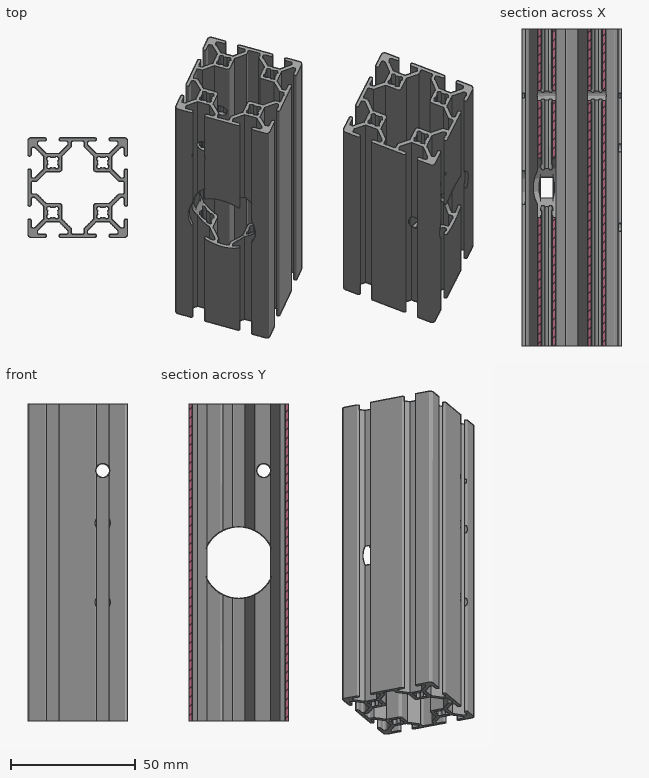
import cadquery as cq
import math

length = 127.0
side = 40.0
half = side / 2
core_pos = side / 4
corner_radius = 1.4

slot_half_width = 2.5
lip_thickness = 1.4
cavity_half_width = 6.1
cavity_radius = 0.6

core_half_width = 3.7
core_corner_radius = 1.1
web_thickness = 1.5
web_offset = 8.9
slot_depth = half - core_pos - core_half_width

pocket_half_width = 2.5
pocket_radius = 0.6

bore_diameter = 4.2
lobe_diameter = 1.8
lobe_offset = 1.5

cross_hole_diameter = 5.5
cross_hole_z = 100.3
large_hole_diameter = 28.6
notch_diameter = 6.1
notch_spacing = 31.8

CORE_CENTERS = [(sx * core_pos, sy * core_pos) for sx in (-1, 1) for sy in (-1, 1)]


def rotated(point, quarter_turns):
    """Turn an XY point about the part axis."""
    x, y = point
    for _ in range(quarter_turns):
        x, y = -y, x
    return (x, y)


def round_vertical_edges(prism, points, radius):
    """Fillet the vertical edges of a prism that stand at the given XY points."""
    match_tolerance = 0.01

    def stands_at_point(edge):
        center = edge.Center()
        return any(math.dist((center.x, center.y), point) < match_tolerance for point in points)

    return prism.edges("|Z").filter(stands_at_point).fillet(radius)


def slot_cutter():
    """One T-slot in the -Y face, centred on X = 0, leaving round noses on its lips."""
    nose_radius = lip_thickness / 2
    lip_inside = lip_thickness - half
    flank_start = web_offset - cavity_half_width - half
    floor_half_width = web_offset - slot_depth
    right_nose = slot_half_width + nose_radius
    right_corners = [(cavity_half_width, lip_inside), (cavity_half_width, flank_start)]
    left_corners = [(-x, y) for x, y in reversed(right_corners)]
    slot = (
        cq.Workplane("XY")
        .moveTo(right_nose, -half)
        .threePointArc((slot_half_width, nose_radius - half), (right_nose, lip_inside))
        .polyline(right_corners, includeCurrent=True)
        .lineTo(floor_half_width, slot_depth - half)
        .lineTo(-floor_half_width, slot_depth - half)
        .polyline(left_corners, includeCurrent=True)
        .lineTo(-right_nose, lip_inside)
        .threePointArc((-slot_half_width, nose_radius - half), (-right_nose, -half))
        .close()
        .extrude(length)
    )
    return round_vertical_edges(slot, right_corners + left_corners, cavity_radius)


def central_cavity():
    """Cross-shaped hollow between the four cores, made of four equal arms."""
    inner_offset = web_offset + web_thickness * math.sqrt(2)
    web_start = half - (inner_offset - (core_pos - pocket_half_width))
    web_end = half - (inner_offset - core_half_width)
    core_face = core_pos - core_half_width
    arm = [
        (core_face, -core_face),
        (web_end, -core_face),
        (web_start, -pocket_half_width),
        (half - lip_thickness, -pocket_half_width),
        (half - lip_thickness, pocket_half_width),
        (web_start, pocket_half_width),
        (web_end, core_face),
    ]
    outline = [rotated(point, turns) for turns in range(4) for point in arm]
    cavity = cq.Workplane("XY").polyline(outline).close().extrude(length)
    core_corners = [rotated(arm[0], turns) for turns in range(4)]
    pocket_corners = [rotated(point, turns) for turns in range(4) for point in arm[3:5]]
    cavity = round_vertical_edges(cavity, core_corners, core_corner_radius)
    return round_vertical_edges(cavity, pocket_corners, pocket_radius)


def screw_bores():
    """Round bore with four corner lobes in every core."""
    lobe_centers = [
        (x + sx * lobe_offset, y + sy * lobe_offset)
        for x, y in CORE_CENTERS
        for sx in (-1, 1)
        for sy in (-1, 1)
    ]
    bores = cq.Workplane("XY").pushPoints(CORE_CENTERS).circle(bore_diameter / 2).extrude(length)
    lobes = cq.Workplane("XY").pushPoints(lobe_centers).circle(lobe_diameter / 2).extrude(length)
    return bores.union(lobes)


def profile():
    """Full-length extrusion before the cross machining."""
    body = cq.Workplane("XY").rect(side, side).extrude(length)
    body = body.edges("|Z").fillet(corner_radius)
    slot = slot_cutter()
    for turns in range(4):
        for x in (-core_pos, core_pos):
            body = body.cut(slot.translate((x, 0, 0)).rotate((0, 0, 0), (0, 0, 1), 90 * turns))
    return body.cut(central_cavity()).cut(screw_bores())


def cross_hole():
    """Round hole along Y through both +X cores and all walls."""
    return (
        cq.Workplane("XZ", origin=(core_pos, half, cross_hole_z))
        .circle(cross_hole_diameter / 2)
        .extrude(side)
    )


def large_hole():
    """Blind round hole in the middle of the +Y face, reaching through the +Y cores to the cavity."""
    depth = slot_depth + 2 * core_half_width
    return (
        cq.Workplane("XZ", origin=(0, half, length / 2))
        .circle(large_hole_diameter / 2)
        .extrude(depth)
    )


def lip_notches():
    """Two round notches in the lips of the +X slot of the -Y face."""
    return (
        cq.Workplane("XZ", origin=(core_pos, lip_thickness - half, length / 2))
        .pushPoints([(0, -notch_spacing / 2), (0, notch_spacing / 2)])
        .circle(notch_diameter / 2)
        .extrude(lip_thickness)
    )


result = profile().cut(cross_hole()).cut(large_hole()).cut(lip_notches())